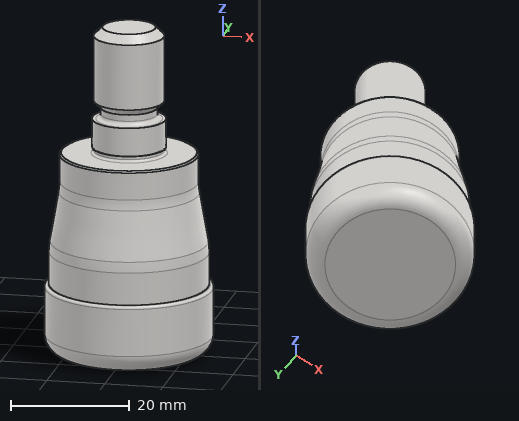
import cadquery as cq
import math

foot_radius = 14.28
foot_height = 12.0
foot_bottom_round = 3.25
foot_top_round = 0.5
foot_floor = 3.25

lower_radius = 13.55
upper_radius = 11.75
body_top = 35.0
body_edge_chamfer = 0.3
taper_bottom = 18.65
taper_top = 29.05
taper_blend = 0.94

shank_radius = 6.0
root_fillet = 0.45
collar_radius = 6.25
collar_bottom = 36.0
collar_top = 41.0
neck_radius = 4.8
neck_fillet = 0.85
neck_top = 42.9
total_height = 57.0
tip_chamfer = 1.5


def make_foot():
    """Round cup with rounded rims and a recess that fits the body."""
    foot = cq.Workplane("XY").circle(foot_radius).extrude(foot_height)
    foot = foot.faces("<Z").edges().fillet(foot_bottom_round)
    foot = foot.faces(">Z").edges().fillet(foot_top_round)
    recess_depth = foot_height - foot_floor
    recess = cq.Workplane("XY").workplane(offset=foot_floor).circle(lower_radius).extrude(recess_depth)
    return foot.cut(recess)


def fillet_middle(center_radius, center_height, fillet_radius):
    """Midpoint of a quarter arc that faces the axis and the face below it."""
    offset = fillet_radius * math.sqrt(0.5)
    return center_radius - offset, center_height - offset


def make_spindle():
    """Tapered body and its stud, turned as one solid seated in the foot."""
    taper_angle = math.atan2(lower_radius - upper_radius, taper_top - taper_bottom)
    blend_in = taper_blend * math.sin(taper_angle)
    blend_down = taper_blend * math.cos(taper_angle)
    root_outer = shank_radius + root_fillet
    root_top = body_top + root_fillet
    neck_outer = neck_radius + neck_fillet
    neck_bottom = collar_top + neck_fillet
    shank_bottom = neck_top + shank_radius - neck_radius

    profile = (
        cq.Workplane("XZ")
        .moveTo(0, foot_floor)
        .lineTo(lower_radius, foot_floor)
        .lineTo(lower_radius, taper_bottom - taper_blend)
        .tangentArcPoint((lower_radius - blend_in, taper_bottom + blend_down), relative=False)
        .lineTo(upper_radius + blend_in, taper_top - blend_down)
        .tangentArcPoint((upper_radius, taper_top + taper_blend), relative=False)
        .lineTo(upper_radius, body_top - body_edge_chamfer)
        .lineTo(upper_radius - body_edge_chamfer, body_top)
        .lineTo(root_outer, body_top)
        .threePointArc(fillet_middle(root_outer, root_top, root_fillet), (shank_radius, root_top))
        .lineTo(shank_radius, collar_bottom)
        .lineTo(collar_radius, collar_bottom)
        .lineTo(collar_radius, collar_top)
        .lineTo(neck_outer, collar_top)
        .threePointArc(fillet_middle(neck_outer, neck_bottom, neck_fillet), (neck_radius, neck_bottom))
        .lineTo(neck_radius, neck_top)
        .lineTo(shank_radius, shank_bottom)
        .lineTo(shank_radius, total_height - tip_chamfer)
        .lineTo(shank_radius - tip_chamfer, total_height)
        .lineTo(0, total_height)
        .close()
    )
    return profile.revolve(360, (0, 0, 0), (0, 1, 0))


foot = make_foot()
spindle = make_spindle()

result = cq.Compound.makeCompound([foot.val(), spindle.val()])